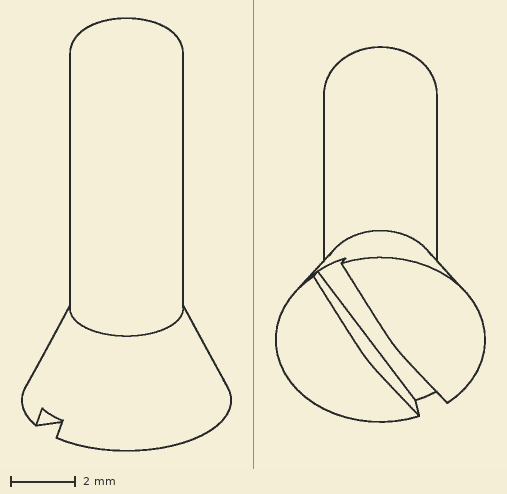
import cadquery as cq

total_height = 13.38
shank_diameter = 3.5
end_rounding = 0.5
head_diameter = 6.49
rim_height = 0.63
head_height = 3.87
slot_width = 1.0
slot_top = 1.15

shank_radius = shank_diameter / 2
head_radius = head_diameter / 2

slot_half_width = slot_width / 2
lower_slope = rim_height / (head_radius - slot_half_width)
tip_z = -lower_slope * slot_half_width


def make_body():
    """Revolve the half outline of the shank and the double-cone head."""
    outline = (
        cq.Workplane("XZ")
        .moveTo(0, tip_z)
        .lineTo(head_radius, rim_height)
        .lineTo(shank_radius, head_height)
        .lineTo(shank_radius, total_height)
        .lineTo(0, total_height)
        .close()
    )
    return outline.revolve(360, (0, 0), (0, 1)).faces(">Z").edges().fillet(end_rounding)


def make_slot():
    """Driver slot running along Y right across the head."""
    slot_depth = slot_top - tip_z
    return (
        cq.Workplane("XY")
        .workplane(offset=tip_z)
        .rect(slot_width, head_diameter)
        .extrude(slot_depth)
    )


result = make_body().cut(make_slot())